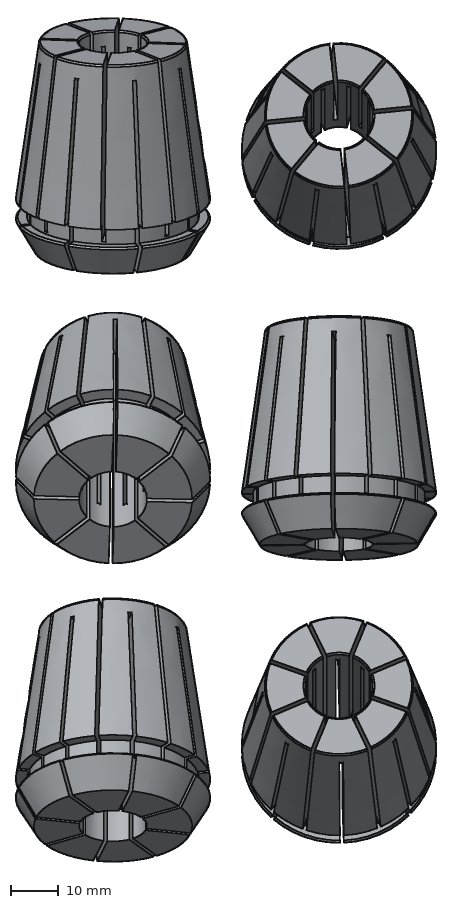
import cadquery as cq
import math

height = 46.0
max_radius = 41.0 / 2
bore_radius = 14.3 / 2
bore_chamfer = 0.35

body_taper_angle = 8.0
nose_taper_angle = 30.0
body_base_z = 11.1
top_chamfer_height = 0.4
top_chamfer_width = 0.3
groove_radius = 18.12
flange_top_z = 7.05
flange_chamfer = 0.4

slot_count = 8
slot_width = 0.85
nose_slot_end_z = 42.5
top_slot_floor_z = 7.55


def collet_body():
    """Revolved outer shape with the bore through it."""
    flange_edge_z = flange_top_z - flange_chamfer
    nose_radius = max_radius - flange_edge_z * math.tan(math.radians(nose_taper_angle))
    shoulder_z = height - top_chamfer_height
    body_taper = (shoulder_z - body_base_z) * math.tan(math.radians(body_taper_angle))
    shoulder_radius = max_radius - body_taper
    profile = [
        (bore_radius, 0),
        (nose_radius, 0),
        (max_radius, flange_edge_z),
        (max_radius - flange_chamfer, flange_top_z),
        (groove_radius, flange_top_z),
        (groove_radius, body_base_z),
        (max_radius, body_base_z),
        (shoulder_radius, shoulder_z),
        (shoulder_radius - top_chamfer_width, height),
        (bore_radius + bore_chamfer, height),
        (bore_radius, height - bore_chamfer),
    ]
    return cq.Workplane("XZ").polyline(profile).close().revolve(360, (0, 0), (0, 1))


def radial_slots(first_angle, bottom_z, top_z):
    """Ring of radial cutters reaching from inside the bore past the outer surface."""
    inner_radius = bore_radius / 2
    length = max_radius + slot_width - inner_radius
    cutter = (
        cq.Workplane("XY")
        .box(length, slot_width, top_z - bottom_z, centered=(False, True, False))
        .translate((inner_radius, 0, bottom_z))
    )
    slots = cq.Workplane("XY")
    for index in range(slot_count):
        angle = first_angle + index * 360 / slot_count
        slots = slots.add(cutter.rotate((0, 0, 0), (0, 0, 1), angle))
    return slots.combine()


half_pitch = 180 / slot_count
nose_slots = radial_slots(0, 0, nose_slot_end_z)
top_slots = radial_slots(half_pitch, top_slot_floor_z, height)

result = collet_body().cut(nose_slots).cut(top_slots)